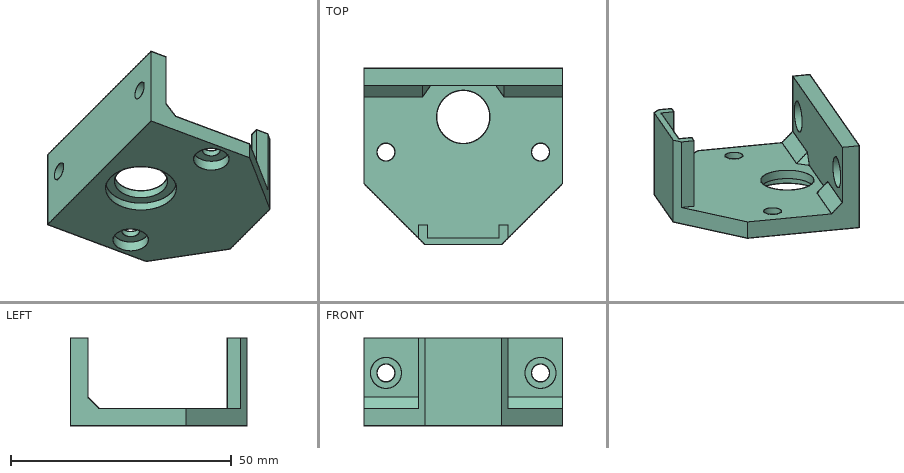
import cadquery as cq

width = 45.0
depth = 40.0
height = 20.0

thickness = 4.0
corner_cut = 13.8

upright_width = 20.4
upright_length = 4.5
upright_web = 1.5
upright_inner_width = 16.2

gusset_leg = 2.5
gusset_length = 13.28
gusset_end_run = 1.8

shaft_diameter = 12.0
shaft_recess_diameter = 16.0
shaft_recess_depth = 2.0
shaft_from_back = 11.05

screw_diameter = 4.0
screw_spacing = 35.0
floor_screw_from_back = 19.05
floor_bore_diameter = 8.0
floor_bore_depth = 2.5
wall_screw_height = 12.0
wall_bore_diameter = 7.0
wall_bore_depth = 2.0


def box(x_size, y_min, y_max, z_min, z_max):
    """Box centred on X."""
    return (
        cq.Workplane("XY")
        .box(x_size, y_max - y_min, z_max - z_min, centered=(True, False, False))
        .translate((0, y_min, z_min))
    )


def make_gusset():
    """Left gusset: a triangular bar whose inner end tapers down to the corner line."""
    inner_x = -width / 2 + gusset_length
    bar = (
        cq.Workplane("YZ", origin=(-width / 2, -thickness, thickness))
        .polyline([(0, 0), (0, gusset_leg), (-gusset_leg, 0)])
        .close()
        .extrude(gusset_length)
    )
    corner = cq.Vector(inner_x, -thickness, thickness)
    tip = corner + cq.Vector(gusset_end_run, 0, 0)
    top = corner + cq.Vector(0, 0, gusset_leg)
    front = corner + cq.Vector(0, -gusset_leg, 0)
    sides = [(corner, top, front), (corner, top, tip), (corner, front, tip), (top, front, tip)]
    faces = [cq.Face.makeFromWires(cq.Wire.makePolygon(side, close=True)) for side in sides]
    end = cq.Solid.makeSolid(cq.Shell.makeShell(faces))
    return bar.union(cq.Workplane(obj=end))


def make_body():
    """Floor, mounting wall and front upright, with the front corners cut off."""
    front = -depth
    floor = box(width, front, 0, 0, thickness)
    wall = box(width, -thickness, 0, 0, height)
    upright = box(upright_width, front, front + upright_length, 0, height)
    channel = box(upright_inner_width, front + upright_web, front + upright_length, thickness, height)
    outline = (
        cq.Workplane("XY")
        .moveTo(-width / 2, 0)
        .lineTo(-width / 2, front + corner_cut)
        .lineTo(-width / 2 + corner_cut, front)
        .lineTo(width / 2 - corner_cut, front)
        .lineTo(width / 2, front + corner_cut)
        .lineTo(width / 2, 0)
        .close()
        .extrude(height)
    )
    return floor.union(wall).union(upright.cut(channel)).intersect(outline)


def floor_hole(x, y, diameter, bore_diameter, bore_depth):
    """Through hole in the floor with a counterbore on the underside."""
    base = cq.Workplane("XY", origin=(x, y, 0))
    hole = base.circle(diameter / 2).extrude(thickness)
    return hole.union(base.circle(bore_diameter / 2).extrude(bore_depth))


def wall_hole(x):
    """Through hole in the wall with a counterbore on its front face."""
    base = cq.Workplane("XZ", origin=(x, 0, wall_screw_height))
    hole = base.circle(screw_diameter / 2).extrude(thickness)
    bore = base.workplane(offset=thickness - wall_bore_depth)
    return hole.union(bore.circle(wall_bore_diameter / 2).extrude(wall_bore_depth))


left_gusset = make_gusset()
result = make_body().union(left_gusset).union(left_gusset.mirror("YZ"))

result = result.cut(
    floor_hole(0, -shaft_from_back, shaft_diameter, shaft_recess_diameter, shaft_recess_depth)
)
for screw_x in (-screw_spacing / 2, screw_spacing / 2):
    result = result.cut(
        floor_hole(
            screw_x, -floor_screw_from_back, screw_diameter, floor_bore_diameter, floor_bore_depth
        )
    )
    result = result.cut(wall_hole(screw_x))